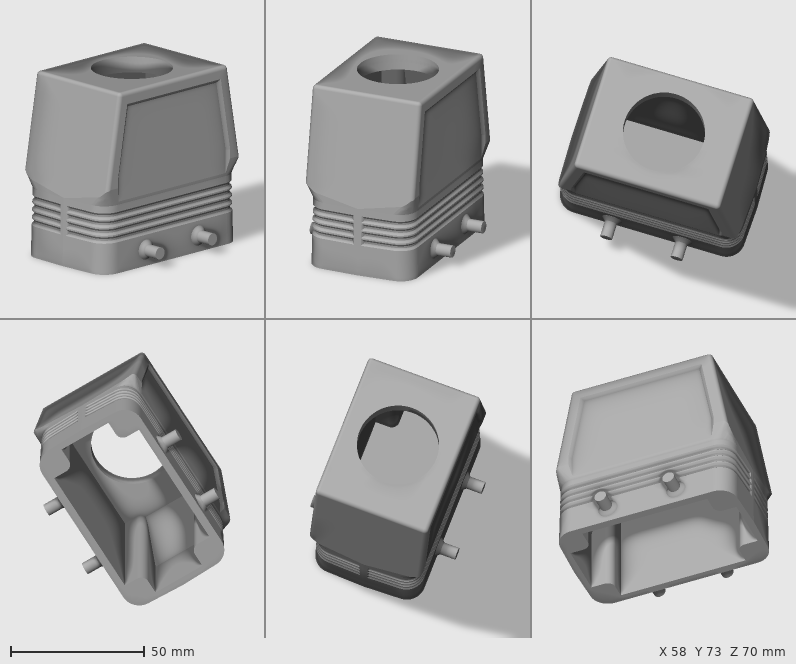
import cadquery as cq
import math

total_height = 70.0
base_half_x = 21.6
base_half_y = 36.5
base_corner_radius = 7.0
base_draft = math.tan(math.radians(1.0))
end_wall_slope = 0.035

neck_height = 26.5
flare_height = 33.4
hood_half_x = 22.5
hood_end_slope = math.tan(math.radians(10.0))
hood_edge_radius = 1.5

groove_count = 4
groove_pitch = 3.1
groove_start = 12.05
groove_depth = 0.9
groove_floor_width = 0.7
groove_width = groove_floor_width + 2 * groove_depth
band_top = groove_start + (groove_count - 1) * groove_pitch + groove_width
end_strip_half_width = 1.2

panel_floor_x = 21.4
panel_wall_run = 1.3
panel_floor_half_bottom = 28.2
panel_floor_half_top = 23.3
panel_bend_height = 36.9
panel_floor_top = 63.95

pin_span = 58.0
pin_tip_x = pin_span / 2
pin_y = 13.8
pin_z = 6.3
pin_radius = 2.3
pin_foot_radius = 3.9
pin_foot_end_x = base_half_x - base_draft * pin_z + pin_foot_radius - pin_radius

entry_radius = 15.4
roof_thickness = 6.1
cavity_half_x = 18.6
end_wall_thickness = 2.3
post_width = 8.3
post_face_y = 25.3
post_corner_radius = 3.1


def outline(half_x, half_y, radius, z):
    """Closed wire at height z: a rounded rectangle with slightly pointed end walls."""
    corner_y = half_y - end_wall_slope * half_x
    points = [
        (half_x, -corner_y),
        (half_x, corner_y),
        (0, half_y),
        (-half_x, corner_y),
        (-half_x, -corner_y),
        (0, -half_y),
    ]
    wire = cq.Wire.makePolygon([cq.Vector(x, y, z) for x, y in points], close=True)
    corners = [v for v in wire.Vertices() if abs(v.X) > half_x / 2]
    return wire.fillet2D(radius, corners)


def base_outline(z, inset=0.0):
    """Outline of the drafted base at height z, moved inwards by inset."""
    offset = inset + base_draft * z
    return outline(base_half_x - offset, base_half_y - offset, base_corner_radius - inset, z)


def ruled_solid(wires):
    return cq.Workplane(cq.Solid.makeLoft(wires, True))


def make_base():
    """Drafted base with grooves all round, bridged by a plain strip at the middle of each end."""
    plain = ruled_solid([base_outline(0), base_outline(neck_height)])

    sections = [base_outline(0)]
    for i in range(groove_count):
        bottom = groove_start + i * groove_pitch
        top = bottom + groove_width
        sections.append(base_outline(bottom))
        sections.append(base_outline(bottom + groove_depth, groove_depth))
        sections.append(base_outline(top - groove_depth, groove_depth))
        sections.append(base_outline(top))
    sections.append(base_outline(neck_height))
    ribbed = ruled_solid(sections)

    strip_depth = 3 * groove_depth
    root_half_width = end_strip_half_width + strip_depth
    root_y = base_half_y - strip_depth
    strip = (
        cq.Workplane("XY", origin=(0, 0, groove_start))
        .polyline([
            (-root_half_width, root_y),
            (root_half_width, root_y),
            (end_strip_half_width, base_half_y),
            (-end_strip_half_width, base_half_y),
        ])
        .close()
        .extrude(band_top - groove_start)
    )
    strips = strip.union(strip.mirror("XZ"))
    return ribbed.union(plain.intersect(strips))


def hood_end_y(z):
    """Half length of the hood at height z; it meets the ridge of the base at the neck."""
    neck_half_y = base_half_y - base_draft * neck_height
    return neck_half_y - hood_end_slope * (z - neck_height)


def make_hood():
    """Hood with sloping ends, narrowed at the bottom by a flare that grows out of the neck."""
    block = (
        cq.Workplane("YZ", origin=(-hood_half_x, 0, 0))
        .polyline([
            (-hood_end_y(neck_height), neck_height),
            (hood_end_y(neck_height), neck_height),
            (hood_end_y(total_height), total_height),
            (-hood_end_y(total_height), total_height),
        ])
        .close()
        .extrude(2 * hood_half_x)
        .edges("not <Z")
        .fillet(hood_edge_radius)
    )
    flare_half_y = hood_end_y(neck_height)
    envelope = ruled_solid([
        base_outline(neck_height),
        outline(hood_half_x, flare_half_y, hood_edge_radius, flare_height),
        outline(hood_half_x, flare_half_y, hood_edge_radius, total_height),
    ])
    return block.intersect(envelope)


def panel_outline(x, grow):
    """Panel outline in the plane at x, enlarged by grow except along its bottom edge."""
    bottom_y = panel_floor_half_bottom + grow
    top_y = panel_floor_half_top + grow
    points = [
        (-bottom_y, neck_height),
        (bottom_y, neck_height),
        (bottom_y, panel_bend_height),
        (top_y, panel_floor_top + grow),
        (-top_y, panel_floor_top + grow),
        (-bottom_y, panel_bend_height),
    ]
    return cq.Wire.makePolygon([cq.Vector(x, y, z) for y, z in points], close=True)


def make_panel_cutters():
    cutter = ruled_solid([
        panel_outline(panel_floor_x, 0),
        panel_outline(hood_half_x, panel_wall_run),
    ])
    return cutter.union(cutter.mirror("YZ"))


def make_pins():
    """Two pins on each long side, each with a conical foot."""
    foot_x = pin_foot_end_x - (pin_foot_radius - pin_radius)
    pin = (
        cq.Workplane("XY")
        .polyline([
            (cavity_half_x, 0),
            (cavity_half_x, pin_foot_radius),
            (foot_x, pin_foot_radius),
            (pin_foot_end_x, pin_radius),
            (pin_tip_x, pin_radius),
            (pin_tip_x, 0),
        ])
        .close()
        .revolve(360, (0, 0, 0), (1, 0, 0))
        .translate((0, 0, pin_z))
    )
    side = pin.translate((0, pin_y, 0)).union(pin.translate((0, -pin_y, 0)))
    return side.union(side.mirror("YZ"))


def make_cavity():
    """Inside space, open at the bottom, with a round-edged post left in each corner."""
    roof_z = total_height - roof_thickness
    neck_y = hood_end_y(neck_height) - end_wall_thickness
    roof_y = hood_end_y(roof_z) - end_wall_thickness
    space = (
        cq.Workplane("YZ", origin=(-cavity_half_x, 0, 0))
        .polyline([
            (-neck_y, 0),
            (neck_y, 0),
            (neck_y, neck_height),
            (roof_y, roof_z),
            (-roof_y, roof_z),
            (-neck_y, neck_height),
        ])
        .close()
        .extrude(2 * cavity_half_x)
    )
    post_length = base_half_y - post_face_y
    for side_x in (-1, 1):
        for side_y in (-1, 1):
            toward_x = "<X" if side_x > 0 else ">X"
            toward_y = "<Y" if side_y > 0 else ">Y"
            post = (
                cq.Workplane("XY")
                .center(
                    side_x * (cavity_half_x - post_width / 2),
                    side_y * (post_face_y + post_length / 2),
                )
                .rect(post_width, post_length)
                .extrude(roof_z)
                .edges(f"|Z and {toward_x} and {toward_y}")
                .fillet(post_corner_radius)
            )
            space = space.cut(post)
    return space


cable_entry = cq.Workplane("XY").circle(entry_radius).extrude(total_height)

result = (
    make_base()
    .union(make_hood())
    .cut(make_panel_cutters())
    .union(make_pins())
    .cut(make_cavity())
    .cut(cable_entry)
)